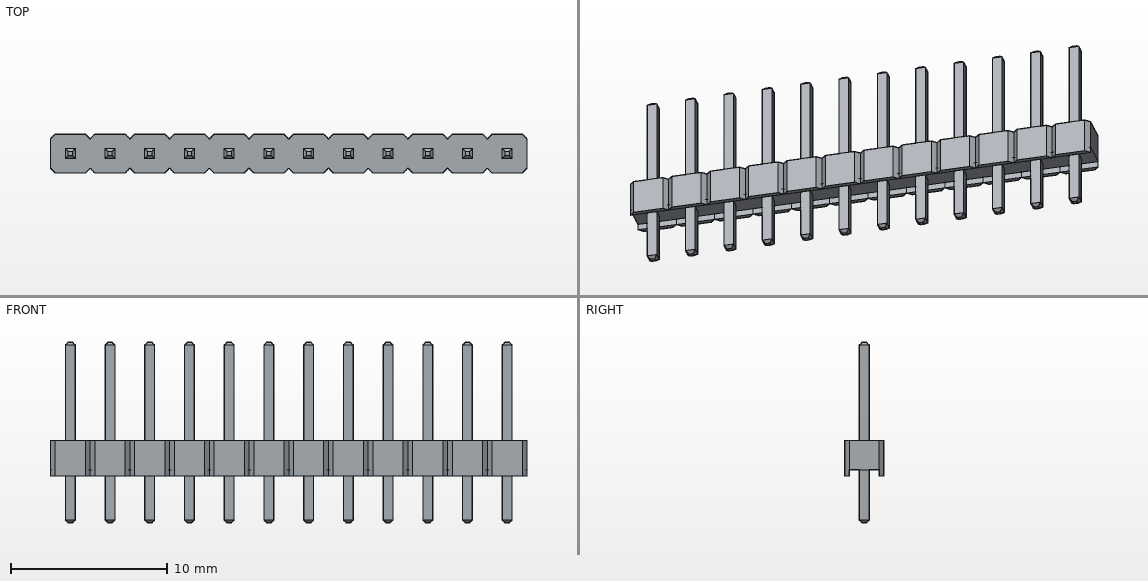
import cadquery as cq

pin_count = 12
row_length = 30.48
pitch = row_length / pin_count

housing_width = 2.5
housing_height = 2.3
corner_chamfer = 0.3
channel_depth = 0.4
channel_width = housing_width - 2 * corner_chamfer

pin_side = 0.65
pin_length = 11.55
pin_below_housing = 3.0
tip_chamfer = 0.18

pin_positions = [((i - (pin_count - 1) / 2) * pitch, 0) for i in range(pin_count)]


def housing_cell():
    """One octagonal block of the housing, centred on its pin."""
    block = cq.Workplane("XY").box(pitch, housing_width, housing_height, centered=(True, True, False))
    return block.edges("|Z").chamfer(corner_chamfer)


def bottom_channel():
    """Standoff channel that runs the full length of the housing underside."""
    return cq.Workplane("XY").box(row_length, channel_width, channel_depth, centered=(True, True, False))


def pin():
    """One square pin, chamfered around both tips."""
    bar = cq.Workplane("XY").box(pin_side, pin_side, pin_length, centered=(True, True, False))
    tapered = bar.faces("<Z or >Z").edges().chamfer(tip_chamfer)
    return tapered.translate((0, 0, -pin_below_housing))


def copies_along_row(shape):
    """Place a copy of the shape at every pin position."""
    return cq.Workplane("XY").pushPoints(pin_positions).eachpoint(shape.val(), combine="a")


housing = copies_along_row(housing_cell()).cut(bottom_channel())
result = housing.union(copies_along_row(pin()))